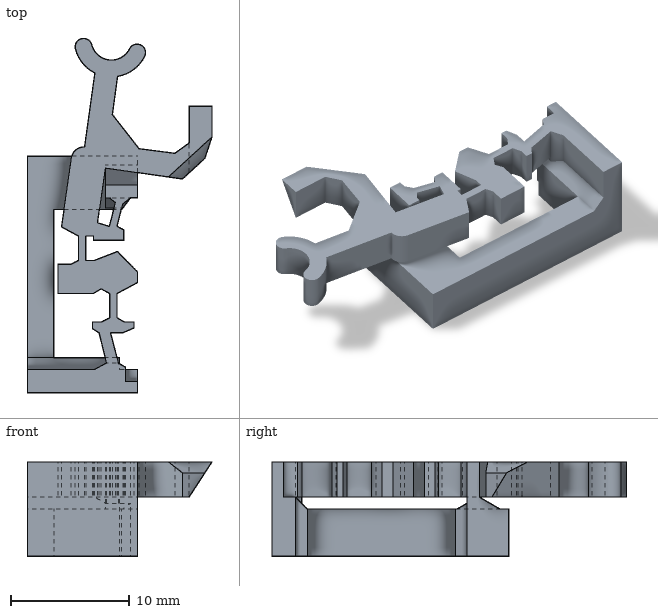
import cadquery as cq
import math

TOTAL_WIDTH = 15.6
TOTAL_HEIGHT = 8.0
PLATE_THICKNESS = 3.0
PLATE_BOTTOM = TOTAL_HEIGHT - PLATE_THICKNESS
BASE_WIDTH = 9.3
BASE_LENGTH = 20.0
BASE_HEIGHT = 4.0
RAIL_WIDTH = 2.25
FRONT_WALL = 1.97
FRONT_RAMP = BASE_HEIGHT / 4
FRONT_RAMP_END = 7.78
WINDOW_FRONT = FRONT_WALL + FRONT_RAMP
WINDOW_BACK = 15.47
NOTCH_SIZE = 1.02

POST_LEFT = 6.58
POST_FRONT = 16.45
POST_BACK = 17.53
POST_RAMP_BACK = 19.25
POST_FOOT_FRONT = 15.62
POST_FOOT_HEIGHT = 0.48

STRIP_WIDTH = 0.63
UPPER_STRIP_LEFT = 4.3
LOWER_STRIP_LEFT = 6.95

CRADLE_CENTER = (7.1, 29.8)
CRADLE_RADIUS = 2.42
HORN_RADIUS = 0.72
LEFT_HORN_ANGLE = 194.3
RIGHT_HORN_ANGLE = 333.5

HOOK_INNER_X = 13.65
HOOK_END_Y = 24.2
HOOK_CORNER_Y = 20.35
HOOK_HEEL = (13.08, 18.05)
HOOK_CHAMFER = 0.93


def prism(points, bottom, top):
    """Extrude a closed XY polygon between two Z levels."""
    return cq.Workplane("XY").workplane(offset=bottom).polyline(points).close().extrude(top - bottom)


def plate(points):
    """Extrude a polygon through the thickness of the mechanism plate."""
    return prism(points, PLATE_BOTTOM, TOTAL_HEIGHT)


def side_prism(points, left, right):
    """Extrude a closed YZ polygon between two X positions."""
    return cq.Workplane("YZ").workplane(offset=left).polyline(points).close().extrude(right - left)


def plate_strip(left, front, back):
    """Thin straight hinge running along Y."""
    right = left + STRIP_WIDTH
    return plate([(left, front), (right, front), (right, back), (left, back)])


def base_frame():
    """C-shaped base, open on the right, with the front wall and its ramp."""
    base = prism(
        [
            (0, 0), (BASE_WIDTH, 0), (BASE_WIDTH, FRONT_WALL), (FRONT_RAMP_END, FRONT_WALL),
            (FRONT_RAMP_END, WINDOW_FRONT), (RAIL_WIDTH, WINDOW_FRONT),
            (RAIL_WIDTH, WINDOW_BACK), (BASE_WIDTH, WINDOW_BACK),
            (BASE_WIDTH, BASE_LENGTH), (0, BASE_LENGTH),
        ],
        0, BASE_HEIGHT,
    )
    wall = side_prism(
        [(0, BASE_HEIGHT), (FRONT_WALL, BASE_HEIGHT), (FRONT_WALL, TOTAL_HEIGHT), (0, TOTAL_HEIGHT)],
        0, BASE_WIDTH,
    )
    ramp = side_prism(
        [(FRONT_WALL, BASE_HEIGHT), (WINDOW_FRONT, BASE_HEIGHT), (FRONT_WALL, BASE_HEIGHT + FRONT_RAMP)],
        0, FRONT_RAMP_END,
    )
    return base.union(wall).union(ramp)


def rear_post():
    """Post with a long ramp behind it and a short sloped foot in front."""
    return side_prism(
        [
            (POST_FOOT_FRONT, BASE_HEIGHT), (POST_RAMP_BACK, BASE_HEIGHT),
            (POST_BACK, PLATE_BOTTOM), (POST_BACK, TOTAL_HEIGHT), (POST_FRONT, TOTAL_HEIGHT),
            (POST_FRONT, BASE_HEIGHT + POST_FOOT_HEIGHT),
        ],
        POST_LEFT, BASE_WIDTH,
    )


def rear_clearance():
    """Relief in the right end of the rear bar and post foot."""
    return prism(
        [(7.95, WINDOW_BACK), (8.7, POST_FRONT), (BASE_WIDTH, POST_FRONT), (BASE_WIDTH, WINDOW_BACK)],
        0, TOTAL_HEIGHT,
    )


def front_notch():
    """Corner notch in the front wall, also trimming the flare of the front flexure."""
    left = BASE_WIDTH - NOTCH_SIZE
    front = FRONT_WALL - NOTCH_SIZE
    back = WINDOW_FRONT
    return plate([(left, front), (BASE_WIDTH, front), (BASE_WIDTH, back), (left, back)])


def rear_flexure():
    """Slanted strip from the post down to the swing arm, flared at the post."""
    return plate([
        (6.9, 14.05), (7.42, 16.07), (6.9, POST_FRONT), (8.7, POST_FRONT), (8.05, 15.95), (7.57, 14.05),
    ])


def front_flexure():
    """Slanted strip from the front wall to a small cross piece, flared at the wall."""
    strip = plate([
        (5.65, FRONT_WALL), (6.67, 2.5), (6.05, 5.05), (5.48, 5.42), (5.48, 5.98), (6.22, 5.98),
        (LOWER_STRIP_LEFT, 6.35), (LOWER_STRIP_LEFT + STRIP_WIDTH, 6.35), (8.2, 5.98), (9.0, 5.98),
        (9.0, 5.48), (8.05, 5.05), (7.03, 5.05), (7.7, 2.5), (8.62, FRONT_WALL),
    ])
    flare = prism(
        [(5.65, FRONT_WALL), (6.67, 2.5), (7.7, 2.5), (FRONT_RAMP_END, FRONT_WALL)],
        BASE_HEIGHT, TOTAL_HEIGHT,
    )
    return strip.union(flare)


def middle_block():
    """Intermediate link with the hinge strips on both of its ends."""
    block = plate([
        (2.57, 8.38), (5.57, 8.38), (6.22, 8.77), (LOWER_STRIP_LEFT, 8.38),
        (LOWER_STRIP_LEFT + STRIP_WIDTH, 8.38), (BASE_WIDTH, 9.3), (BASE_WIDTH, 10.2), (7.6, 11.95),
        (5.65, 11.2), (UPPER_STRIP_LEFT, 11.2), (3.68, 10.85), (2.57, 10.85),
    ])
    lower_strip = plate_strip(LOWER_STRIP_LEFT, 6.35, 8.38)
    upper_strip = plate_strip(UPPER_STRIP_LEFT, 11.2, 13.22)
    return block.union(lower_strip).union(upper_strip)


def cradle_point(radius, angle):
    """Point on a circle about the cradle centre, angle in degrees."""
    turn = math.radians(angle)
    return (CRADLE_CENTER[0] + radius * math.cos(turn), CRADLE_CENTER[1] + radius * math.sin(turn))


def cradle():
    """Curved band of constant width with a round end on each horn."""
    inner = CRADLE_RADIUS - HORN_RADIUS
    outer = CRADLE_RADIUS + HORN_RADIUS
    middle_angle = (LEFT_HORN_ANGLE + RIGHT_HORN_ANGLE) / 2
    band = (
        cq.Workplane("XY").workplane(offset=PLATE_BOTTOM)
        .moveTo(*cradle_point(outer, LEFT_HORN_ANGLE))
        .threePointArc(cradle_point(outer, middle_angle), cradle_point(outer, RIGHT_HORN_ANGLE))
        .lineTo(*cradle_point(inner, RIGHT_HORN_ANGLE))
        .threePointArc(cradle_point(inner, middle_angle), cradle_point(inner, LEFT_HORN_ANGLE))
        .close().extrude(PLATE_THICKNESS)
    )
    for angle in (LEFT_HORN_ANGLE, RIGHT_HORN_ANGLE):
        horn = (
            cq.Workplane("XY").workplane(offset=PLATE_BOTTOM)
            .center(*cradle_point(CRADLE_RADIUS, angle))
            .circle(HORN_RADIUS).extrude(PLATE_THICKNESS)
        )
        band = band.union(horn)
    return band


def swing_arm():
    """Tilted arm with a rounded shoulder and the side hook."""
    return (
        cq.Workplane("XY").workplane(offset=PLATE_BOTTOM)
        .moveTo(5.75, 27.45)
        .lineTo(4.82, 20.75)
        .threePointArc((4.05, 20.47), (3.7, 19.85))
        .lineTo(2.87, 14.0)
        .lineTo(UPPER_STRIP_LEFT, 13.22)
        .lineTo(5.57, 13.22)
        .lineTo(5.57, 12.87)
        .lineTo(8.15, 12.87)
        .lineTo(8.15, 13.75)
        .lineTo(7.57, 14.05)
        .lineTo(6.9, 14.05)
        .lineTo(5.92, 14.35)
        .lineTo(POST_LEFT, 18.97)
        .lineTo(*HOOK_HEEL)
        .lineTo(TOTAL_WIDTH, HOOK_CORNER_Y)
        .lineTo(TOTAL_WIDTH, HOOK_END_Y)
        .lineTo(HOOK_INNER_X, HOOK_END_Y)
        .lineTo(HOOK_INNER_X, 21.1)
        .lineTo(12.45, 20.23)
        .lineTo(9.42, 20.6)
        .lineTo(7.18, 23.5)
        .lineTo(7.72, 27.45)
        .close().extrude(PLATE_THICKNESS)
    )


def hook_undercut():
    """Wedge that slopes the hook's outer wall inward, down to its inner wall."""
    length = HOOK_END_Y - HOOK_HEEL[1]
    return (
        cq.Workplane("XZ", origin=(0, HOOK_END_Y, 0))
        .polyline([(TOTAL_WIDTH, TOTAL_HEIGHT), (TOTAL_WIDTH, PLATE_BOTTOM), (HOOK_INNER_X, PLATE_BOTTOM)])
        .close().extrude(length)
    )


def hook_chamfer():
    """45 degree wedge along the top of the hook's diagonal outer wall."""
    run = (TOTAL_WIDTH - HOOK_HEEL[0], HOOK_CORNER_Y - HOOK_HEEL[1])
    length = math.hypot(*run)
    along = cq.Vector(run[0] / length, run[1] / length, 0)
    frame = cq.Plane(
        origin=(HOOK_HEEL[0], HOOK_HEEL[1], TOTAL_HEIGHT),
        xDir=(-along.y, along.x, 0),
        normal=along.toTuple(),
    )
    return (
        cq.Workplane(frame).workplane(offset=-length)
        .polyline([(HOOK_CHAMFER, 0), (0, -HOOK_CHAMFER), (-HOOK_CHAMFER, -HOOK_CHAMFER), (-HOOK_CHAMFER, 0)])
        .close().extrude(3 * length)
    )


arm = swing_arm().cut(hook_undercut()).cut(hook_chamfer()).union(cradle())
mount = base_frame().union(rear_post()).cut(rear_clearance())
flexures = rear_flexure().union(front_flexure()).union(middle_block())
result = mount.union(flexures).union(arm).cut(front_notch())